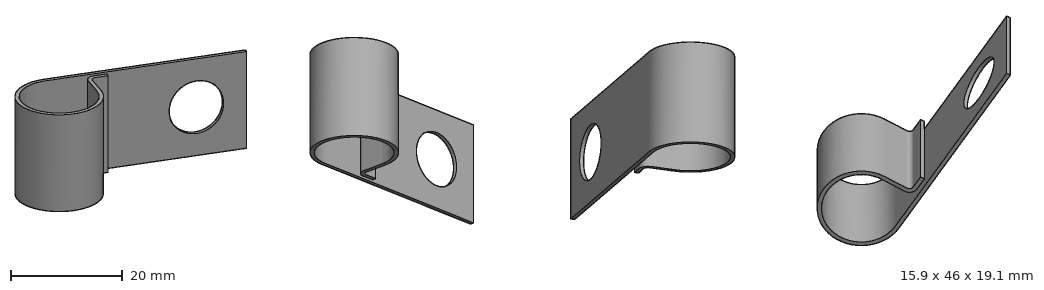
import cadquery as cq
import math

total_length = 46.05
strip_width = 19.05
thickness = 0.8
loop_diameter = 15.9
hole_diameter = 10.3
hole_end_distance = strip_width / 2
tab_gap = 0.85
tab_height = 3.3
bend_inner_radius = 0.85

outer_radius = loop_diameter / 2
inner_radius = outer_radius - thickness
bend_outer_radius = bend_inner_radius + thickness
leg_outer_x = -outer_radius
leg_inner_x = -inner_radius
leg_end_y = total_length - outer_radius
tab_outer_x = leg_inner_x + tab_gap
tab_inner_x = tab_outer_x + thickness
tab_end_y = outer_radius + tab_height
bend_center_x = tab_outer_x + bend_outer_radius
bend_center_y = inner_radius + bend_outer_radius


def arc_point(radius, angle, center=(0, 0)):
    """Point on a circle at an angle in degrees."""
    turn = math.radians(angle)
    return (center[0] + radius * math.cos(turn), center[1] + radius * math.sin(turn))


def make_strip():
    """Long leg, three-quarter loop and bent-up tab as one extruded profile."""
    loop_middle = -45
    bend_middle = 225
    bend_center = (bend_center_x, bend_center_y)
    return (
        cq.Workplane("XY")
        .moveTo(leg_outer_x, leg_end_y)
        .lineTo(leg_outer_x, 0)
        .threePointArc(arc_point(outer_radius, loop_middle), (0, outer_radius))
        .lineTo(bend_center_x, outer_radius)
        .threePointArc(
            arc_point(bend_inner_radius, bend_middle, bend_center),
            (tab_inner_x, bend_center_y),
        )
        .lineTo(tab_inner_x, tab_end_y)
        .lineTo(tab_outer_x, tab_end_y)
        .lineTo(tab_outer_x, bend_center_y)
        .threePointArc(
            arc_point(bend_outer_radius, bend_middle, bend_center),
            (bend_center_x, inner_radius),
        )
        .lineTo(0, inner_radius)
        .threePointArc(arc_point(inner_radius, loop_middle), (leg_inner_x, 0))
        .lineTo(leg_inner_x, leg_end_y)
        .close()
        .extrude(strip_width)
    )


def make_hole_cutter():
    """Cylinder along X that passes through the long leg only."""
    hole_center = cq.Vector(leg_outer_x, leg_end_y - hole_end_distance, strip_width / 2)
    cylinder = cq.Solid.makeCylinder(
        hole_diameter / 2, thickness, hole_center, cq.Vector(1, 0, 0)
    )
    return cq.Workplane(obj=cylinder)


result = make_strip().cut(make_hole_cutter())